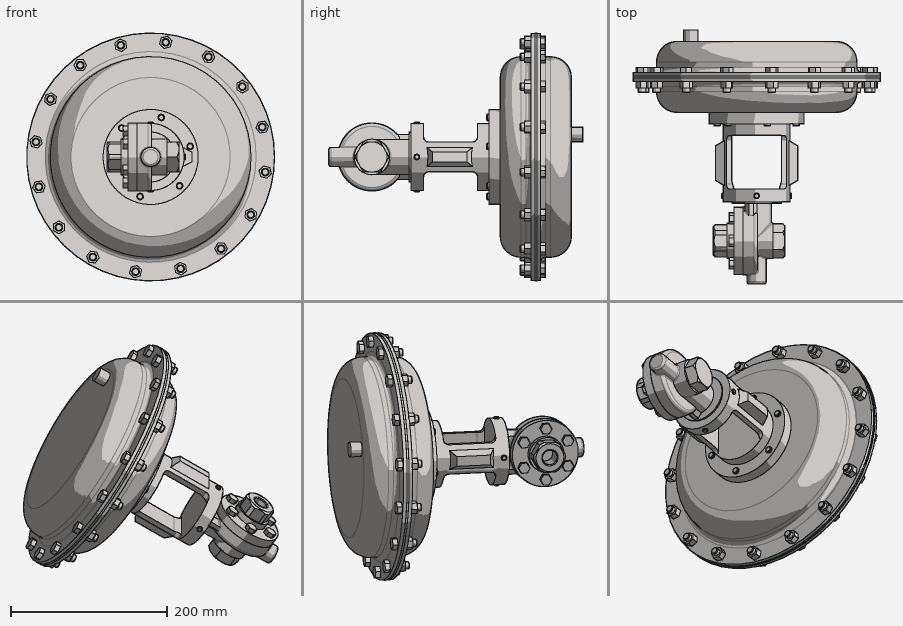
import cadquery as cq
import math


casing_half_depth = 45.5
casing_radius = 128.5
dome_radius = 26.7
flange_radius = 158.7
flange_half_thickness = 6.0
diaphragm_thickness = 2.5
diaphragm_lip = 0.3
plate_radius = flange_radius - diaphragm_lip
flange_fillet = 6.5

pattern_angle = 15.0
casing_bolt_count = 16
casing_bolt_circle = 148.0
casing_hex_corners = 16.3
nut_turn = -7.5
head_turn = nut_turn + 30
casing_head_height = 6.5
casing_nut_height = 8.5
stud_radius = 5.0
stud_end = 20.2
stud_chamfer = 1.0

port_radius = 9.5
port_offset = 89.0
port_angle = 161.2
port_end = 60.2

collar_radius = 60.8
collar_end = -60.2
collar_bolt_count = 6
collar_bolt_circle = 52.5
small_bolt_chamfer = 1.0
collar_bolt_radius = 4.2
collar_bolt_height = 3.0

yoke_radius = 43.0
window_start = -74.8
window_end = -143.5
yoke_end = -160.0
arm_half_height = 19.2
window_half_width = 31.5
window_fillet = 6.2
window_taper_width = 2.5
window_taper_length = 9.8
pad_base_x = 41.0
pad_outer_x = 52.7
pad_base_length = 58.2
pad_outer_length = 44.2
pad_base_height = 24.7
pad_outer_height = 12.7
pad_center_y = -110.3
set_screw_count = 4
set_screw_y = -152.2
set_screw_radius = 3.5
set_screw_height = 2.0
sunk_depth = 3.3
spigot_radius = 32.0
spigot_end = -162.0

valve_y = -209.8
body_radius = 43.5
body_front_x = -17.2
body_back_x = 1.3
body_fillet = 4.5
cover_radius = 43.3
cover_front_x = -29.3
cover_bolt_count = 6
cover_bolt_circle = 33.2
cover_bolt_angle = 30.0
cover_bolt_corners = 15.0
cover_bolt_height = 6.0
pipe_radius = 22.8
left_collar_end_x = -38.0
left_hex_end_x = -55.5
left_hex_flats = 38.7
left_hex_round_radius = 20.8
right_pipe_end_x = 21.0
right_hex_end_x = 36.0
right_hex_flats = 38.0
hex_chamfer = 2.5
bore_radius = 9.5
bore_depth = 26.0
bore_chamfer = 1.3
stem_radius = pipe_radius
stem_axis_x = -3.5
neck_front_x = -15.0
neck_back_x = 0.5
neck_half_height = 29.0
neck_chamfer_x = 5.0
neck_chamfer_z = 7.0
drain_radius = 12.5
drain_end = port_end - 325.2
drain_end_fillet = 3.0
junction_fillet = 1.5


def y_cylinder(radius, y_start, y_end):
    """Cylinder on the actuator axis between two Y positions."""
    return cq.Workplane("XZ", origin=(0, y_start, 0)).circle(radius).extrude(y_start - y_end)


def x_plane(x):
    """Plane across the valve pipe axis; local x is +Y and local y is +Z."""
    return cq.Workplane("YZ", origin=(x, valve_y, 0))


def x_cylinder(radius, x_start, x_end):
    """Cylinder on the valve pipe axis between two X positions."""
    return x_plane(x_start).circle(radius).extrude(x_end - x_start)


def corners_of(flats):
    """Width across corners of a hexagon, from its width across flats."""
    return flats / math.cos(math.pi / 6)


def ring_of(shape, count, first_angle):
    """Copies of a shape spaced evenly round the Y axis."""
    copies = cq.Workplane("XY")
    for i in range(count):
        angle = first_angle + i * 360.0 / count
        copies = copies.add(shape.rotate((0, 0, 0), (0, 1, 0), -angle))
    return copies.combine()


def make_casing():
    side = flange_half_thickness
    wall_top = casing_half_depth - dome_radius
    flat_radius = casing_radius - dome_radius
    dome_mid = dome_radius * math.sqrt(0.5)
    fillet_mid = flange_fillet * (1 - math.sqrt(0.5))
    half = (
        cq.Workplane("XY")
        .lineTo(plate_radius, 0)
        .lineTo(plate_radius, side)
        .lineTo(casing_radius + flange_fillet, side)
        .threePointArc(
            (casing_radius + fillet_mid, side + fillet_mid),
            (casing_radius, side + flange_fillet),
        )
        .lineTo(casing_radius, wall_top)
        .threePointArc(
            (flat_radius + dome_mid, wall_top + dome_mid),
            (flat_radius, casing_half_depth),
        )
        .lineTo(0, casing_half_depth)
        .close()
        .revolve(360, (0, 0, 0), (0, 1, 0))
    )
    diaphragm = y_cylinder(flange_radius, diaphragm_thickness / 2, -diaphragm_thickness / 2)
    return half.union(half.mirror("XZ")).union(diaphragm)


def make_casing_bolts():
    head_top = flange_half_thickness + casing_head_height
    nut_end = flange_half_thickness + casing_nut_height
    head = (
        cq.Workplane("XZ", origin=(casing_bolt_circle, 0, 0))
        .transformed(rotate=(0, 0, head_turn))
        .polygon(6, casing_hex_corners)
        .extrude(-head_top)
    )
    nut = (
        cq.Workplane("XZ", origin=(casing_bolt_circle, 0, 0))
        .transformed(rotate=(0, 0, nut_turn))
        .polygon(6, casing_hex_corners)
        .extrude(nut_end)
    )
    stud = (
        cq.Workplane("XZ", origin=(casing_bolt_circle, 0, 0))
        .circle(stud_radius)
        .extrude(stud_end)
        .faces("<Y")
        .chamfer(stud_chamfer)
    )
    return ring_of(head.union(nut).union(stud), casing_bolt_count, pattern_angle)


def make_port():
    angle = math.radians(port_angle)
    return (
        cq.Workplane("XZ", origin=(port_offset * math.cos(angle), 0, port_offset * math.sin(angle)))
        .circle(port_radius)
        .extrude(-port_end)
    )


def make_collar():
    collar = y_cylinder(collar_radius, 0, collar_end)
    bolt = (
        cq.Workplane("XZ", origin=(collar_bolt_circle, collar_end, 0))
        .circle(collar_bolt_radius)
        .extrude(collar_bolt_height)
        .faces("<Y")
        .chamfer(small_bolt_chamfer)
    )
    return collar.union(ring_of(bolt, collar_bolt_count, pattern_angle))


def make_window():
    """Openings above and below the two yoke arms, and the space between the arms."""
    length = window_start - window_end
    center_y = (window_start + window_end) / 2
    slot = (
        cq.Workplane("XY")
        .box(2 * yoke_radius, length, yoke_radius)
        .edges("|X")
        .fillet(window_fillet)
        .translate((0, center_y, arm_half_height + yoke_radius / 2))
    )
    taper_start = window_end + window_taper_length
    end_half_width = window_half_width - window_taper_width
    between_arms = (
        cq.Workplane("XY", origin=(0, 0, -yoke_radius))
        .moveTo(-window_half_width, window_start)
        .lineTo(window_half_width, window_start)
        .lineTo(window_half_width, taper_start)
        .lineTo(end_half_width, window_end)
        .lineTo(-end_half_width, window_end)
        .lineTo(-window_half_width, taper_start)
        .close()
        .extrude(2 * yoke_radius)
    )
    return between_arms.union(slot).union(slot.mirror("XY"))


def make_pad():
    """Tapered rectangular pad on the +X arm, with its foot sunk into the arm."""
    foot = cq.Workplane("XY").box(sunk_depth, pad_base_length, pad_base_height)
    foot = foot.translate((pad_base_x - sunk_depth / 2, pad_center_y, 0))
    taper = (
        cq.Workplane("YZ", origin=(pad_base_x, pad_center_y, 0))
        .rect(pad_base_length, pad_base_height)
        .workplane(offset=pad_outer_x - pad_base_x)
        .rect(pad_outer_length, pad_outer_height)
        .loft()
    )
    return foot.union(taper)


def make_yoke():
    yoke = y_cylinder(yoke_radius, collar_end, yoke_end).cut(make_window())
    set_screw = (
        cq.Workplane("YZ", origin=(yoke_radius - sunk_depth, set_screw_y, 0))
        .circle(set_screw_radius)
        .extrude(sunk_depth + set_screw_height)
        .faces(">X")
        .chamfer(small_bolt_chamfer)
    )
    pad = make_pad()
    spigot = y_cylinder(spigot_radius, yoke_end, spigot_end)
    return (
        yoke.union(pad)
        .union(pad.mirror("YZ"))
        .union(ring_of(set_screw, set_screw_count, 0))
        .union(spigot)
    )


def make_neck():
    """Flat neck with bevelled corners that joins the valve body to the yoke."""
    shoulder = neck_half_height - neck_chamfer_z
    return (
        cq.Workplane("XZ", origin=(0, spigot_end, 0))
        .moveTo(neck_front_x, -shoulder)
        .lineTo(neck_front_x, shoulder)
        .lineTo(neck_front_x + neck_chamfer_x, neck_half_height)
        .lineTo(neck_back_x - neck_chamfer_x, neck_half_height)
        .lineTo(neck_back_x, shoulder)
        .lineTo(neck_back_x, -shoulder)
        .lineTo(neck_back_x - neck_chamfer_x, -neck_half_height)
        .lineTo(neck_front_x + neck_chamfer_x, -neck_half_height)
        .close()
        .extrude(spigot_end - valve_y)
    )


def make_left_end():
    """Bolted cover with its union nut and bore."""
    cover = x_cylinder(cover_radius, body_front_x, cover_front_x)
    bolts = (
        x_plane(cover_front_x)
        .polarArray(cover_bolt_circle, cover_bolt_angle, 360, cover_bolt_count, rotate=False)
        .polygon(6, cover_bolt_corners)
        .extrude(-cover_bolt_height)
    )
    collar = x_cylinder(pipe_radius, cover_front_x, left_collar_end_x)
    hex_length = left_hex_end_x - left_collar_end_x
    nut = x_plane(left_collar_end_x).polygon(6, corners_of(left_hex_flats)).extrude(hex_length)
    rounding = x_cylinder(left_hex_round_radius, left_collar_end_x, left_hex_end_x)
    nut = nut.intersect(rounding.faces("<X").chamfer(hex_chamfer))
    bore = x_cylinder(bore_radius, left_hex_end_x, left_hex_end_x + bore_depth)
    nut = nut.union(collar).cut(bore)
    nut = nut.faces("<X").edges(cq.selectors.RadiusNthSelector(0)).chamfer(bore_chamfer)
    return cover.union(bolts).union(nut)


def make_right_side():
    """Side pipe with its hexagonal end, and the round-sided stem that joins it to the yoke."""
    pipe = x_cylinder(pipe_radius, 0, right_pipe_end_x)
    stem = (
        cq.Workplane("XZ", origin=(stem_axis_x, spigot_end, 0))
        .circle(stem_radius)
        .extrude(spigot_end - valve_y)
    )
    neck_side = (
        cq.Workplane("XZ", origin=(-stem_radius, spigot_end, 0))
        .rect(2 * stem_radius, 2 * stem_radius)
        .extrude(spigot_end - valve_y)
    )
    stem = stem.cut(neck_side)
    corners = corners_of(right_hex_flats)
    hex_length = right_hex_end_x - right_pipe_end_x
    hexagon = x_plane(right_pipe_end_x).polygon(6, corners).extrude(hex_length)
    rounding = x_cylinder(corners / 2, right_pipe_end_x, right_hex_end_x)
    hexagon = hexagon.intersect(rounding.faces(">X").chamfer(hex_chamfer))
    return pipe.union(stem).union(hexagon)


def round_junctions(casting):
    """Round the inside corners where the neck, stem and drain meet the body and side pipe."""

    def edges_within(x_range, y_range, half_height):
        box = cq.selectors.BoxSelector(
            (x_range[0], y_range[0], -half_height),
            (x_range[1], y_range[1], half_height),
            boundingbox=True,
        )
        return casting.edges(box)

    margin = 0.5
    body_top = valve_y + body_radius
    pipe_bottom = valve_y - pipe_radius
    drain_reach = drain_radius + margin
    drain_foot = edges_within(
        (-drain_reach, drain_reach),
        (valve_y - body_radius - margin, pipe_bottom + body_fillet),
        drain_reach,
    ).edges("not |Y")
    neck_foot = edges_within(
        (neck_front_x - margin, neck_back_x - neck_chamfer_x + margin),
        (body_top - neck_half_height, body_top + margin),
        neck_half_height + margin,
    ).edges("not |Y")
    stem_foot = edges_within(
        (0, right_pipe_end_x),
        (valve_y, spigot_end),
        pipe_radius + margin,
    ).edges("%ELLIPSE")
    return drain_foot.add(neck_foot).add(stem_foot).fillet(junction_fillet)


def make_valve():
    body = x_cylinder(body_radius, body_front_x, body_back_x).faces(">X").edges().fillet(body_fillet)
    drain = y_cylinder(drain_radius, valve_y, drain_end).faces("<Y").edges().fillet(drain_end_fillet)
    casting = body.union(make_right_side()).union(drain).union(make_neck())
    return round_junctions(casting).union(make_left_end())


result = (
    make_casing()
    .union(make_casing_bolts())
    .union(make_port())
    .union(make_collar())
    .union(make_yoke())
    .union(make_valve())
)